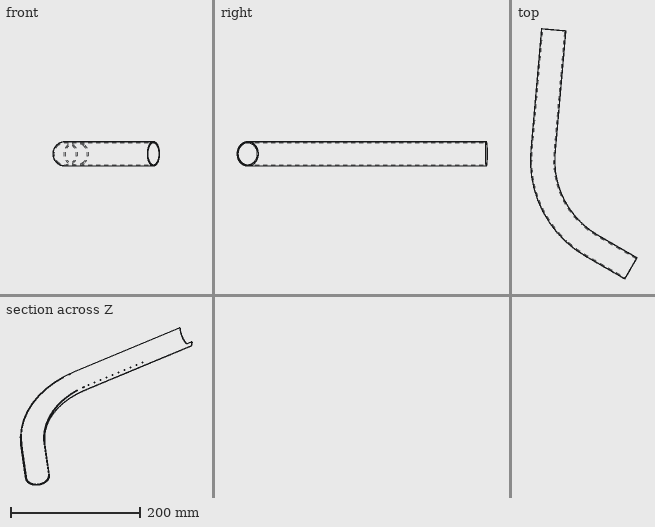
import cadquery as cq
import math

OUTER_DIAMETER = 38.0
WALL = 2.0

LONG_LEG = 190.0
BEND_RADIUS = 151.8
SHORT_LEG = 70.0
LONG_LEG_TILT = 5.0
SHORT_LEG_SLOPE = 30.0
BEND_ANGLE = 90.0 + LONG_LEG_TILT - SHORT_LEG_SLOPE


def advance(point, heading, distance):
    """Move from a point along a heading in degrees, counter-clockwise from +X."""
    angle = math.radians(heading)
    return (point[0] + distance * math.cos(angle), point[1] + distance * math.sin(angle))


long_heading = 270.0 - LONG_LEG_TILT
short_heading = long_heading + BEND_ANGLE

bend_start = (0.0, 0.0)
long_end = advance(bend_start, long_heading, -LONG_LEG)
bend_centre = advance(bend_start, long_heading + 90.0, BEND_RADIUS)
bend_middle = advance(bend_centre, long_heading - 90.0 + BEND_ANGLE / 2, BEND_RADIUS)
bend_end = advance(bend_centre, short_heading - 90.0, BEND_RADIUS)
short_end = advance(bend_end, short_heading, SHORT_LEG)

centreline = (
    cq.Workplane("XY")
    .moveTo(*long_end)
    .lineTo(*bend_start)
    .threePointArc(bend_middle, bend_end)
    .lineTo(*short_end)
)

leg_direction = (bend_start[0] - long_end[0], bend_start[1] - long_end[1], 0)
across_leg = (-leg_direction[1], leg_direction[0], 0)
end_plane = cq.Plane(origin=(*long_end, 0), xDir=across_leg, normal=leg_direction)

outer_radius = OUTER_DIAMETER / 2
result = (
    cq.Workplane(end_plane)
    .circle(outer_radius)
    .circle(outer_radius - WALL)
    .sweep(centreline)
)